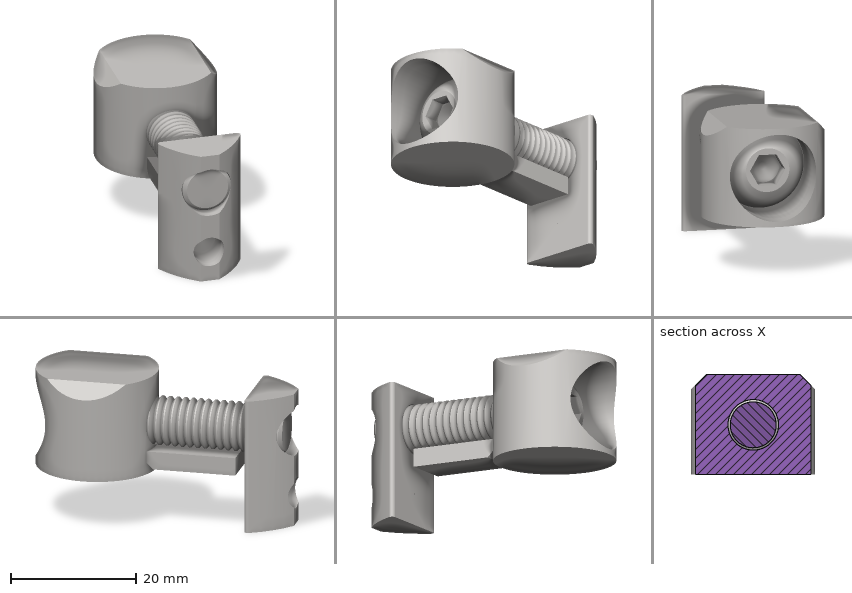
import cadquery as cq
import math


housing_radius = 9.85
housing_top = 8.08
housing_bottom = -7.95
top_chamfer = 2.4

key_half_width = 3.9
key_top = -4.12
key_bottom = -7.05
key_end = 23.6
key_chamfer = 1.0

thread_radius = 4.0
thread_root_radius = 3.4
ten_thread_turns = 12.5
thread_pitch = ten_thread_turns / 10
thread_crest_width = 0.2
first_crest = 10.55
screw_end = 31.15
screw_length = 30.0
head_radius = 7.0
head_height = 4.4
head_face_radius = 3.55
head_clearance = 0.1
socket_flats = 5.0
socket_depth = 2.6
socket_corner_angle = 30

drill_point_angle = 118

nut_back = 25.65
nut_tip = 32.65
nut_top = 6.55
nut_bottom = -15.55
nut_half_width = 7.15
nut_tip_half_width = 1.55
nut_flank_bulge = 0.6
nut_corner_radius = 0.55
nut_hole_radius = 4.1
drill_hole_radius = 2.5
drill_hole_z = -10.5
drill_break_through = 0.05

head_seat = screw_end - screw_length
head_face = head_seat - head_height
head_bore_radius = head_radius + head_clearance


def x_cylinder(radius, start, end):
    """Cylinder along the X axis between two X positions."""
    return cq.Workplane("YZ", origin=(start, 0, 0)).circle(radius).extrude(end - start)


def cone_height(radius):
    """Height of the cone that a drill point of this radius leaves."""
    return radius / math.tan(math.radians(drill_point_angle / 2))


def revolve_about_x(profile):
    """Turn an (X, radius) outline about the X axis."""
    return profile.close().revolve(360, (0, 0, 0), (1, 0, 0))


def make_key():
    """Flat bar whose rear edges meet the housing's round side."""
    key_start = math.sqrt(housing_radius**2 - key_half_width**2)
    return (
        cq.Workplane("XZ")
        .moveTo(key_start, key_top)
        .lineTo(key_end, key_top)
        .lineTo(key_end, key_bottom)
        .lineTo(key_start + key_chamfer, key_bottom)
        .lineTo(key_start, key_bottom + key_chamfer)
        .close()
        .extrude(key_half_width, both=True)
    )


def make_housing():
    """Round housing with two top bevels, a stepped screw hole and the key."""
    outline = (
        cq.Workplane("YZ")
        .moveTo(-housing_radius, housing_bottom)
        .lineTo(housing_radius, housing_bottom)
        .lineTo(housing_radius, housing_top - top_chamfer)
        .lineTo(housing_radius - top_chamfer, housing_top)
        .lineTo(top_chamfer - housing_radius, housing_top)
        .lineTo(-housing_radius, housing_top - top_chamfer)
        .close()
        .extrude(housing_radius, both=True)
    )
    body = (
        cq.Workplane("XY", origin=(0, 0, housing_bottom))
        .circle(housing_radius)
        .extrude(housing_top - housing_bottom)
        .intersect(outline)
        .union(make_key())
    )
    head_bore = x_cylinder(head_bore_radius, -housing_radius, head_seat)
    screw_hole = x_cylinder(thread_radius, head_seat, housing_radius)
    return body.cut(head_bore).cut(screw_hole)


def make_head():
    """Domed head with a flat face and a hexagon socket ending in a drill point."""
    centre_shift = (head_radius**2 - head_face_radius**2) / (2 * head_height)
    dome_centre = (head_face + head_seat) / 2 + centre_shift
    dome_radius = math.hypot(head_seat - dome_centre, head_radius)
    rim_angle = math.atan2(head_radius, head_seat - dome_centre)
    face_angle = math.atan2(head_face_radius, head_face - dome_centre)
    middle_angle = (rim_angle + face_angle) / 2
    dome_middle = (
        dome_centre + dome_radius * math.cos(middle_angle),
        dome_radius * math.sin(middle_angle),
    )
    dome = revolve_about_x(
        cq.Workplane("XY")
        .moveTo(head_face, 0)
        .lineTo(head_face, head_face_radius)
        .threePointArc(dome_middle, (head_seat, head_radius))
        .lineTo(head_seat, 0)
    )
    socket_corners = socket_flats / math.cos(math.radians(socket_corner_angle))
    socket = (
        cq.Workplane("YZ", origin=(head_face, 0, 0))
        .polygon(6, socket_corners)
        .extrude(socket_depth)
    )
    socket_floor = head_face + socket_depth
    drill_radius = socket_flats / 2
    drill_point = revolve_about_x(
        cq.Workplane("XY")
        .moveTo(socket_floor, 0)
        .lineTo(socket_floor, drill_radius)
        .lineTo(socket_floor + cone_height(drill_radius), 0)
    )
    return dome.cut(socket).cut(drill_point)


def make_thread_groove(crest):
    """V-shaped ring groove from one thread crest to the next."""
    groove_start = crest + thread_crest_width / 2
    groove_end = crest + thread_pitch - thread_crest_width / 2
    return revolve_about_x(
        cq.Workplane("XY")
        .moveTo(groove_start, thread_radius)
        .lineTo((groove_start + groove_end) / 2, thread_root_radius)
        .lineTo(groove_end, thread_radius)
    )


def make_screw():
    """Button head screw with ring grooves standing for its thread."""
    shank = x_cylinder(thread_radius, head_seat, screw_end)
    crests_before = math.floor((first_crest - head_seat) / thread_pitch)
    crests_after = math.floor((screw_end - first_crest) / thread_pitch)
    for index in range(-crests_before, crests_after + 1):
        shank = shank.cut(make_thread_groove(first_crest + index * thread_pitch))
    return shank.union(make_head())


def make_nut():
    """Tapered slot nut with the screw hole and a smaller drilled hole."""
    body = (
        cq.Workplane("XY", origin=(0, 0, nut_bottom))
        .moveTo(nut_back, -nut_half_width)
        .sagittaArc((nut_tip, -nut_tip_half_width), -nut_flank_bulge)
        .lineTo(nut_tip, nut_tip_half_width)
        .sagittaArc((nut_back, nut_half_width), -nut_flank_bulge)
        .close()
        .extrude(nut_top - nut_bottom)
        .edges("|Z and <X")
        .fillet(nut_corner_radius)
    )
    screw_hole = x_cylinder(nut_hole_radius, nut_back, nut_tip)
    return body.cut(screw_hole).cut(make_drill_hole())


def make_drill_hole():
    """Hole from the nut tip whose drill point just breaks through the back face."""
    point = nut_back - drill_break_through
    cone_base = point + cone_height(drill_hole_radius)
    return revolve_about_x(
        cq.Workplane("XY")
        .moveTo(point, 0)
        .lineTo(cone_base, drill_hole_radius)
        .lineTo(nut_tip, drill_hole_radius)
        .lineTo(nut_tip, 0)
    ).translate((0, 0, drill_hole_z))


housing = make_housing()
screw = make_screw()
nut = make_nut()

result = cq.Compound.makeCompound([housing.val(), screw.val(), nut.val()])